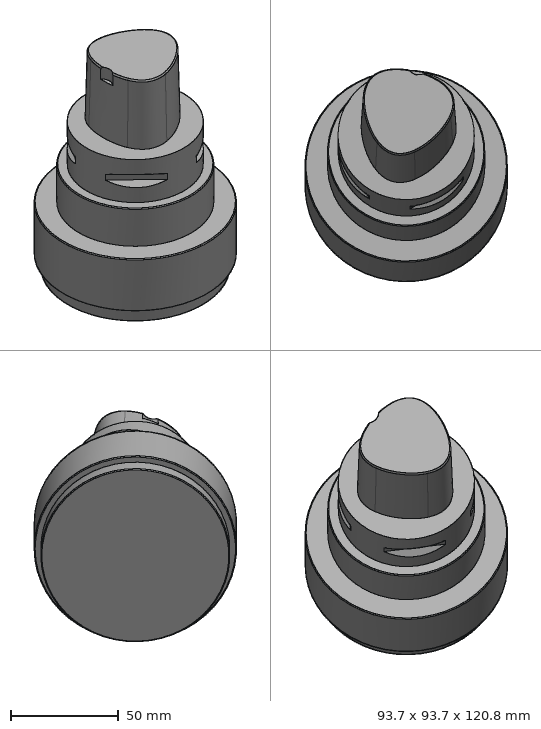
import cadquery as cq
import math

base_diameter = 87.5
base_top = 7.8
flange_diameter = 93.7
flange_top = 37.3
collar_diameter = 72.8
collar_top = 58.6
neck_diameter = 63.0
neck_top = 82.7
edge_chamfer = 0.5

total_height = 120.8
shank_mean_radius = 21.9
lobe_offset = 1.7
taper = 1 / 20
shank_chamfer_height = 0.8
shank_chamfer_width = 0.6
lobe_count = 3
points_per_stretch = 7

notch_radius = 5.5
notch_bottom = 114.1
notch_deepest_y = -17.5

slot_count = 4
slot_first_angle = 45.0
slot_height = 70.6
slot_floor_distance = 28.0
slot_floor_width = 3.3
slot_flank_angle = 30.0
slot_overshoot = 1.2


def make_body():
    """Revolve the stepped half profile; the seam lies on the -X side."""
    base_r = base_diameter / 2
    flange_r = flange_diameter / 2
    collar_r = collar_diameter / 2
    neck_r = neck_diameter / 2
    c = edge_chamfer
    profile = [
        (0, 0),
        (-base_r + c, 0),
        (-base_r, c),
        (-base_r, base_top),
        (-flange_r + c, base_top),
        (-flange_r, base_top + c),
        (-flange_r, flange_top - c),
        (-flange_r + c, flange_top),
        (-collar_r, flange_top),
        (-collar_r, collar_top - c),
        (-collar_r + c, collar_top),
        (-neck_r, collar_top),
        (-neck_r, neck_top),
        (0, neck_top),
    ]
    return cq.Workplane("XZ").polyline(profile).close().revolve(360, (0, 0), (0, 1))


def lobe_point(mean_radius, angle):
    """Point on the three-lobed curve; one lobe points to +Y (angle 0)."""
    second = (lobe_count - 1) * angle
    x = -mean_radius * math.sin(angle) + lobe_offset * math.sin(second)
    y = mean_radius * math.cos(angle) + lobe_offset * math.cos(second)
    return cq.Vector(x, y, 0)


def lobe_tangent(mean_radius, angle):
    """Direction of travel along the three-lobed curve."""
    second = (lobe_count - 1) * angle
    x = -mean_radius * math.cos(angle) + (lobe_count - 1) * lobe_offset * math.cos(second)
    y = -mean_radius * math.sin(angle) - (lobe_count - 1) * lobe_offset * math.sin(second)
    return cq.Vector(x, y, 0).normalized()


def lobe_wire(mean_radius, z):
    """Closed outline of alternating lobe and flat stretches at height z."""
    stretch = math.pi / lobe_count
    step = stretch / (points_per_stretch - 1)
    edges = []
    for i in range(2 * lobe_count):
        start = (i - 0.5) * stretch
        points = [lobe_point(mean_radius, start + k * step) for k in range(points_per_stretch)]
        tangents = [lobe_tangent(mean_radius, start), lobe_tangent(mean_radius, start + stretch)]
        edges.append(cq.Edge.makeSpline(points, tangents=tangents))
    return cq.Wire.assembleEdges(edges).translate(cq.Vector(0, 0, z))


def make_shank():
    """Tapered shank with a small bevel around its top face."""
    bevel_start = total_height - shank_chamfer_height
    bevel_start_radius = shank_mean_radius - (bevel_start - neck_top) * taper / 2
    top_radius = bevel_start_radius - shank_chamfer_width
    foot = lobe_wire(shank_mean_radius, neck_top)
    shoulder = lobe_wire(bevel_start_radius, bevel_start)
    tip = lobe_wire(top_radius, total_height)
    shaft = cq.Workplane(cq.Solid.makeLoft([foot, shoulder], True))
    bevel = cq.Workplane(cq.Solid.makeLoft([shoulder, tip], True))
    return shaft.union(bevel)


def make_notch():
    """Upright cylinder that scoops the key notch."""
    return (
        cq.Workplane("XY")
        .workplane(offset=notch_bottom)
        .center(0, notch_deepest_y - notch_radius)
        .circle(notch_radius)
        .extrude(total_height - notch_bottom)
    )


def make_slot(angle):
    """Straight slot with flared flanks, facing outward at the given angle."""
    outer = neck_diameter / 2 + slot_overshoot
    flare = (outer - slot_floor_distance) * math.tan(math.radians(slot_flank_angle))
    floor_half = slot_floor_width / 2
    section = [
        (slot_floor_distance, slot_height - floor_half),
        (outer, slot_height - floor_half - flare),
        (outer, slot_height + floor_half + flare),
        (slot_floor_distance, slot_height + floor_half),
    ]
    slot = cq.Workplane("XZ").polyline(section).close().extrude(neck_diameter / 2, both=True)
    return slot.rotate((0, 0, 0), (0, 0, 1), angle)


result = make_body().union(make_shank()).cut(make_notch())
for i in range(slot_count):
    result = result.cut(make_slot(slot_first_angle + i * 360 / slot_count))